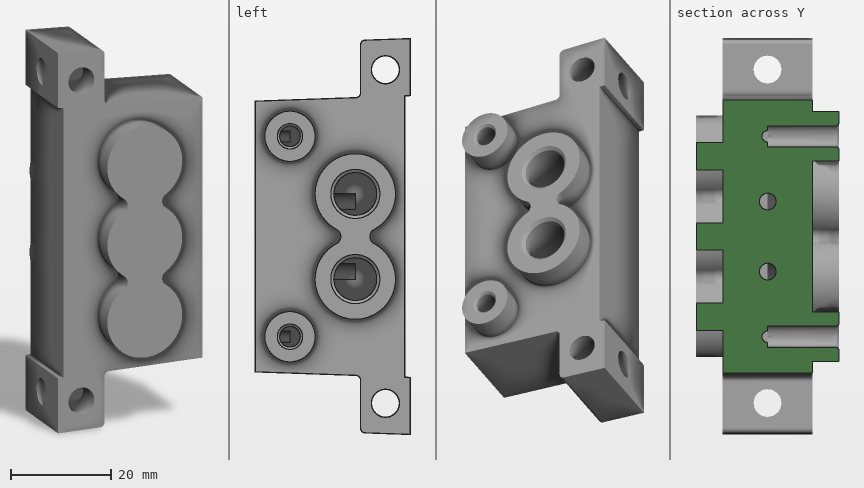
import cadquery as cq
import math

BLOCK_WIDTH = 18.0
BLOCK_DEPTH = 31.0
PART_WIDTH = 28.5
PART_HALF_HEIGHT = 39.5
BLOCK_HALF_HEIGHT = 27.0
DRAFT_ANGLE = 2
HALF_WIDTH = BLOCK_WIDTH / 2

FLANGE_DEPTH = 9.95
FLANGE_INNER_HALF_HEIGHT = 28.05
FACE_RECESS = 1.1
FLANGE_RADIUS = 0.95
FLANGE_HOLE_DIAMETER = 5.5
FLANGE_HOLE_Y = 5.0
FLANGE_HOLE_Z = 33.25

BOSS_LENGTH = (PART_WIDTH - BLOCK_WIDTH) / 2
BOSS_DIAMETER = 16.0
BOSS_BLEND_RADIUS = 1.6
LEFT_PORT_Y = 11.0
LEFT_PORT_PITCH = 17.0
LEFT_PORT_Z = LEFT_PORT_PITCH / 2
RIGHT_PORT_Y = 16.5
RIGHT_PORT_PITCH = 16.0
PORT_BORE_DIAMETER = 8.5
PORT_CHAMFER = 0.6

PILOT_BOSS_DIAMETER = 10.0
PILOT_BORE_DIAMETER = 4.1
PILOT_CHAMFER = 0.5
PILOT_Y = 24.0
PILOT_Z = 20.0

BORE_DEPTH = BOSS_LENGTH + HALF_WIDTH
PORT_DRILLING_DIAMETER = 3.2
PORT_DRILLING_PITCH = 14.0
PORT_DRILLING_Z = PORT_DRILLING_PITCH / 2
PILOT_DRILLING_DIAMETER = 2.2

LEFT_END = -HALF_WIDTH - BOSS_LENGTH


def drafted(run):
    """Height gained over a run along Y by a drafted face."""
    return run * math.tan(math.radians(DRAFT_ANGLE))


def cylinder_x(x, y, z, diameter, length):
    """Cylinder along +X starting at the given point."""
    return cq.Workplane("YZ", origin=(x, y, z)).circle(diameter / 2).extrude(length)


def cylinder_y(x, y, z, diameter, length):
    """Cylinder along +Y starting at the given point."""
    return cq.Workplane("XZ", origin=(x, y, z)).circle(diameter / 2).extrude(-length)


def make_block():
    """Block and both flanges, drawn in the YZ plane and rounded at the flange corners."""
    root_half_height = BLOCK_HALF_HEIGHT + drafted(BLOCK_DEPTH - FLANGE_DEPTH)
    upper_half = [
        (FACE_RECESS, FLANGE_INNER_HALF_HEIGHT),
        (0, FLANGE_INNER_HALF_HEIGHT + drafted(FACE_RECESS)),
        (0, PART_HALF_HEIGHT),
        (FLANGE_DEPTH, PART_HALF_HEIGHT - drafted(FLANGE_DEPTH)),
        (FLANGE_DEPTH, root_half_height),
        (BLOCK_DEPTH, BLOCK_HALF_HEIGHT),
    ]
    lower_half = [(y, -z) for y, z in reversed(upper_half)]
    block = (
        cq.Workplane("YZ", origin=(-HALF_WIDTH, 0, 0))
        .polyline(upper_half + lower_half)
        .close()
        .extrude(BLOCK_WIDTH)
    )
    corner_band = cq.selectors.BoxSelector(
        (-BLOCK_WIDTH, FLANGE_DEPTH - FLANGE_RADIUS, -2 * PART_HALF_HEIGHT),
        (BLOCK_WIDTH, FLANGE_DEPTH + FLANGE_RADIUS, 2 * PART_HALF_HEIGHT),
    )
    return block.edges("|X").edges(corner_band).fillet(FLANGE_RADIUS)


def joined_bosses(x, y, z_centres):
    """Row of round bosses along Z (ascending), joined by webs that blend into their neighbours."""
    bosses = cq.Workplane()
    for z in z_centres:
        bosses = bosses.union(cylinder_x(x, y, z, BOSS_DIAMETER, BOSS_LENGTH))

    radius = BOSS_DIAMETER / 2
    for lower_z, upper_z in zip(z_centres, z_centres[1:]):
        middle_z = (lower_z + upper_z) / 2
        half_pitch = (upper_z - lower_z) / 2
        centre_distance = radius + BOSS_BLEND_RADIUS
        blend_offset = math.sqrt(centre_distance**2 - half_pitch**2)
        tangent_y = blend_offset * radius / centre_distance
        tangent_z = half_pitch * BOSS_BLEND_RADIUS / centre_distance
        waist_y = blend_offset - BOSS_BLEND_RADIUS
        web = (
            cq.Workplane("YZ", origin=(x, y, middle_z))
            .moveTo(0, -half_pitch)
            .lineTo(tangent_y, -tangent_z)
            .threePointArc((waist_y, 0), (tangent_y, tangent_z))
            .lineTo(0, half_pitch)
            .lineTo(-tangent_y, tangent_z)
            .threePointArc((-waist_y, 0), (-tangent_y, -tangent_z))
            .close()
            .extrude(BOSS_LENGTH)
        )
        bosses = bosses.union(web)
    return bosses


def port_bore(y, z, diameter, chamfer):
    """Blind bore from the left end, with a chamfered mouth."""
    radius = diameter / 2
    mouth = cq.Solid.makeCone(
        radius + chamfer, radius, chamfer, pnt=cq.Vector(LEFT_END, y, z), dir=cq.Vector(1, 0, 0)
    )
    return cylinder_x(LEFT_END, y, z, diameter, BORE_DEPTH).union(cq.Workplane(mouth))


def cross_drilling(y, z, diameter):
    """Drilling from the +Y face to the axis of a port."""
    return cylinder_y(0, y, z, diameter, BLOCK_DEPTH - y)


result = make_block()
result = result.union(joined_bosses(LEFT_END, LEFT_PORT_Y, [-LEFT_PORT_Z, LEFT_PORT_Z]))
result = result.union(joined_bosses(HALF_WIDTH, RIGHT_PORT_Y, [-RIGHT_PORT_PITCH, 0, RIGHT_PORT_PITCH]))

for side in (-1, 1):
    pilot_z = side * PILOT_Z
    port_z = side * LEFT_PORT_Z
    flange_z = side * FLANGE_HOLE_Z

    result = result.union(cylinder_x(LEFT_END, PILOT_Y, pilot_z, PILOT_BOSS_DIAMETER, BOSS_LENGTH))
    result = result.cut(port_bore(PILOT_Y, pilot_z, PILOT_BORE_DIAMETER, PILOT_CHAMFER))
    result = result.cut(cross_drilling(PILOT_Y, pilot_z, PILOT_DRILLING_DIAMETER))

    result = result.cut(port_bore(LEFT_PORT_Y, port_z, PORT_BORE_DIAMETER, PORT_CHAMFER))
    result = result.cut(cross_drilling(LEFT_PORT_Y, side * PORT_DRILLING_Z, PORT_DRILLING_DIAMETER))

    result = result.cut(cylinder_x(-HALF_WIDTH, FLANGE_HOLE_Y, flange_z, FLANGE_HOLE_DIAMETER, BLOCK_WIDTH))
    result = result.cut(cylinder_y(0, 0, flange_z, FLANGE_HOLE_DIAMETER, FLANGE_DEPTH))